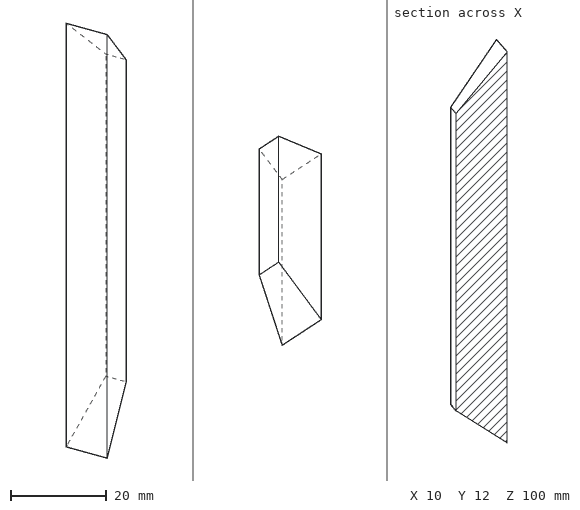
import cadquery as cq

length = 100.0
depth = 12.0
front_width = 10.0
back_width = 5.0

back_length = length - 2 * depth

result = (
    cq.Workplane("XZ")
    .rect(front_width, length)
    .workplane(offset=-depth)
    .rect(back_width, back_length)
    .loft(ruled=True, combine=True)
)